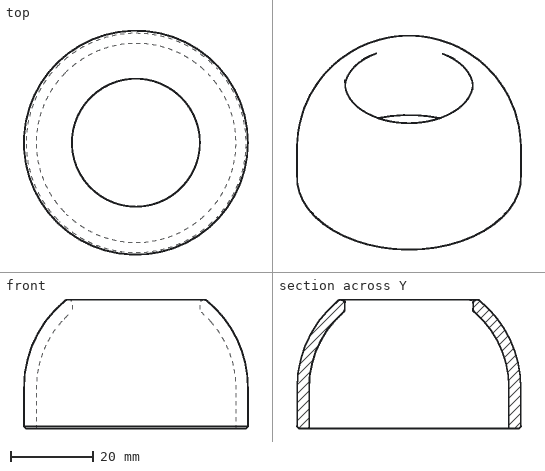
import cadquery as cq
import math

outer_radius = 27.2
wall = 3.0
skirt_height = 10.0
opening_radius = 15.5
rim_fillet = 1.05
base_chamfer = 0.55

inner_radius = outer_radius - wall


def dome_solid(radius):
    """Cylindrical skirt standing on the base plane, topped by a hemisphere."""
    skirt = cq.Workplane("XY").circle(radius).extrude(skirt_height)
    half_disc = (
        cq.Workplane("XZ", origin=(0, 0, skirt_height))
        .lineTo(radius, 0)
        .threePointArc((radius * math.sqrt(0.5), radius * math.sqrt(0.5)), (0, radius))
        .close()
    )
    return skirt.union(half_disc.revolve(360, (0, 0, 0), (0, 1, 0)))


def opening_edge_box(dome_radius):
    """Selector for the circular edge where the opening meets a dome."""
    edge_height = skirt_height + math.sqrt(dome_radius**2 - opening_radius**2)
    reach = opening_radius + wall
    band = wall / 4
    return cq.selectors.BoxSelector(
        (-reach, -reach, edge_height - band),
        (reach, reach, edge_height + band),
        boundingbox=True,
    )


shell = dome_solid(outer_radius).faces("<Z").chamfer(base_chamfer).cut(dome_solid(inner_radius))

opening = cq.Workplane("XY").circle(opening_radius).extrude(skirt_height + outer_radius)
shell = shell.cut(opening)

for dome_radius in (outer_radius, inner_radius):
    shell = shell.edges(opening_edge_box(dome_radius)).fillet(rim_fillet)

result = shell